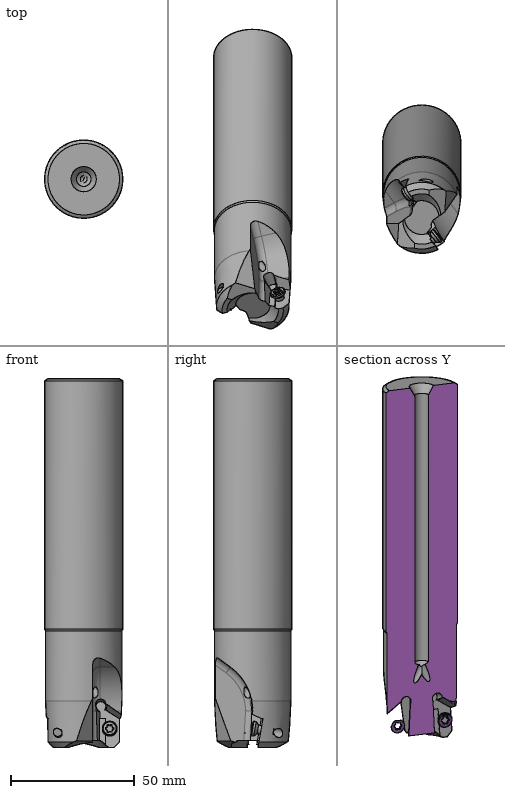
import cadquery as cq
import math

length = 149.35
shank_radius = 31.75 / 2
shank_bottom_z = 48.0
back_chamfer_width = 1.4
back_chamfer_height = 0.9
neck_radius = 15.5
neck_top_z = 47.3
neck_bottom_z = 18.9
head_radius = 14.7
tip_chamfer_height = 2.3
tip_chamfer_width = 2.3

bore_diameter = 5.9
bore_tip_z = 31.5
bore_tip_angle = 118
countersink_diameter = 10.2
countersink_angle = 60
coolant_diameter = 3.1
coolant_exit = cq.Vector(4.4, -2.2, 22.6)
coolant_run_past = 3.0

flute_wall_x = 3.6
flute_fillet = 2.9
flute_foot_z = -1.0
floor_low_y = -0.7
floor_low_z = 3.3
floor_arc_start_z = 14.8
floor_arc_radius = 22.0
floor_arc_angle = math.radians(54)

outside = 20.0
half_limit_y = -1.0

facet_lean = 0.85
facet_offset = 10.97
facet_slope = 0.3625

gash_reach = 6.5
gash_radius = 8.4
gash_slope_x = 0.26
gash_slope_y = 0.3
dish_mouth_radius = 10.4
dish_roof_radius = 7.0
dish_roof_z = 2.9

seat_y = 2.1
rake = math.radians(9.9)
pocket_wall_x = 6.5
pocket_corner = (9.0, 15.4)
pocket_top_slope = math.radians(33)
pocket_foot = -5.0
pocket_depth = 6.0
relief_depth = 7.0
pocket_draft = 16
relief_radius = 2.1
relief_center = (6.9, 16.8)
pad_edge_x = 8.76
pad_top = 11.9
pad_height = 0.7

screw_center = (10.5, 7.3)
thread_diameter = 3.6
thread_length = 5.0
head_diameter = 6.0
head_top_height = 3.8
head_rim_start = 2.5
head_cone_start = 1.3
head_edge_chamfer = 0.4
socket_circle_radius = 1.3
socket_lobe_radius = 0.4
socket_depth = 1.4
socket_lobes = 6


def half_turn_copies(tool):
    """The tool and its copy turned by 180 degrees about the cutter axis."""
    return [tool.rotate((0, 0, 0), (0, 0, 1), angle) for angle in (0, 180)]


def seat_plane():
    """Workplane on the seat: X along +X, Y up the seat, normal out of the seat."""
    normal = (0, -math.cos(rake), math.sin(rake))
    return cq.Workplane(cq.Plane(origin=(0, seat_y, 0), xDir=(1, 0, 0), normal=normal))


def blank():
    """Turned outline of the holder: tip chamfer, tapered head, neck and shank."""
    front = (
        cq.Workplane("XZ")
        .moveTo(0, 0)
        .lineTo(head_radius - tip_chamfer_width, 0)
        .lineTo(head_radius, tip_chamfer_height)
        .lineTo(neck_radius, neck_bottom_z)
        .lineTo(neck_radius, neck_top_z)
        .lineTo(shank_radius, shank_bottom_z)
        .lineTo(shank_radius, length - back_chamfer_height)
        .lineTo(shank_radius - back_chamfer_width, length)
        .lineTo(0, length)
        .close()
    )
    return front.revolve(360, (0, 0, 0), (0, 1, 0))


def bore():
    """Central bore with a drill point and a countersunk mouth."""
    radius = bore_diameter / 2
    mouth_radius = countersink_diameter / 2
    point_height = radius / math.tan(math.radians(bore_tip_angle / 2))
    mouth_height = (mouth_radius - radius) / math.tan(math.radians(countersink_angle / 2))
    outline = (
        cq.Workplane("XZ")
        .moveTo(0, bore_tip_z)
        .lineTo(radius, bore_tip_z + point_height)
        .lineTo(radius, length - mouth_height)
        .lineTo(mouth_radius, length)
        .lineTo(0, length)
        .close()
    )
    return outline.revolve(360, (0, 0, 0), (0, 1, 0))


def coolant_hole():
    """Slanted branch from the bore tip into the corner of the flute."""
    start = cq.Vector(0, 0, bore_tip_z)
    run = coolant_exit - start
    hole = cq.Solid.makeCylinder(coolant_diameter / 2, run.Length + coolant_run_past, start, run)
    return cq.Workplane(obj=hole)


def flute():
    """Chip flute: straight floor, arc and run-out, with a rounded corner at its wall."""
    def arc_point(angle):
        drop = floor_arc_radius * (1 - math.cos(angle))
        return (-drop, floor_arc_start_z + floor_arc_radius * math.sin(angle))

    arc_end = arc_point(floor_arc_angle)
    run_out = outside + arc_end[0]
    run_out_z = arc_end[1] + run_out / math.tan(floor_arc_angle)
    floor_slope = floor_low_y / (floor_arc_start_z - floor_low_z)
    foot_y = floor_slope * (floor_arc_start_z - flute_foot_z)
    tool = (
        cq.Workplane("YZ", origin=(flute_wall_x, 0, 0))
        .moveTo(foot_y, flute_foot_z)
        .lineTo(0, floor_arc_start_z)
        .threePointArc(arc_point(floor_arc_angle / 2), arc_end)
        .lineTo(-outside, run_out_z)
        .lineTo(-outside, flute_foot_z)
        .close()
        .extrude(outside)
    )
    wall_edges = tool.faces("<X").edges("not(<Y or <Z)")
    return wall_edges.fillet(flute_fillet)


def front_half_space(origin, normal):
    """Space on the normal's side of a plane, kept to the -Y half of the cutter."""
    plane = cq.Plane(origin=origin, xDir=(normal[1], -normal[0], 0), normal=normal)
    half_space = cq.Workplane(plane).rect(4 * outside, 4 * outside).extrude(2 * outside)
    half = cq.Workplane("XY").box(4 * outside, 2 * outside, 4 * outside)
    return half_space.intersect(half.translate((0, half_limit_y - outside, 0)))


def facet():
    """Flat that relieves the body between its outer surface and the flute wall."""
    return front_half_space((0, -facet_offset, 0), (facet_lean, -1, -facet_slope))


def gash():
    """Sloped cut under the end face, from its outer land up to the flute."""
    return front_half_space((-gash_reach, -gash_radius, 0), (gash_slope_x, -gash_slope_y, -1))


def dish():
    """Flat-roofed conical recess in the middle of the end face."""
    outline = (
        cq.Workplane("XZ")
        .polyline([(0, 0), (dish_mouth_radius, 0), (dish_roof_radius, dish_roof_z), (0, dish_roof_z)])
        .close()
    )
    return outline.revolve(360, (0, 0, 0), (0, 1, 0))


def insert_pocket():
    """Drafted pocket over the seat, with a round corner relief and a raised pad left standing."""
    corner_x, corner_v = pocket_corner
    end_v = corner_v - (outside - corner_x) * math.tan(pocket_top_slope)
    pocket = (
        seat_plane()
        .polyline([
            (pocket_wall_x, pocket_foot),
            (pocket_wall_x, corner_v),
            (corner_x, corner_v),
            (outside, end_v),
            (outside, pocket_foot),
        ])
        .close()
        .extrude(pocket_depth, taper=-pocket_draft)
    )
    relief = seat_plane().center(*relief_center).circle(relief_radius).extrude(relief_depth)
    pad = (
        seat_plane()
        .rect(pad_edge_x, pad_top, centered=False)
        .extrude(pad_height)
    )
    return pocket.union(relief).cut(pad)


def screw_hole():
    """Threaded hole square to the seat, right through the tooth and past the edge of the pad."""
    return seat_plane().center(*screw_center).circle(thread_diameter / 2).extrude(outside, both=True)


def clamp_screw():
    """Screw with a countersunk-style head standing proud of the seat and a six-lobe socket."""
    thread = thread_diameter / 2
    head = head_diameter / 2
    screw = seat_plane().center(*screw_center).circle(thread).extrude(-thread_length)
    screw = screw.union(seat_plane().center(*screw_center).circle(thread).extrude(head_cone_start))
    cone = (
        seat_plane().workplane(offset=head_cone_start).center(*screw_center).circle(thread)
        .workplane(offset=head_rim_start - head_cone_start).circle(head).loft()
    )
    rim = (
        seat_plane().workplane(offset=head_rim_start).center(*screw_center).circle(head)
        .extrude(head_top_height - head_rim_start)
    )
    rim = rim.faces(cq.selectors.DirectionMinMaxSelector(seat_plane().plane.zDir, True))
    rim = rim.edges().chamfer(head_edge_chamfer)
    top = seat_plane().workplane(offset=head_top_height).center(*screw_center)
    socket = top.circle(socket_circle_radius).extrude(-socket_depth)
    lobes = top.polarArray(socket_circle_radius, 0, 360, socket_lobes).circle(socket_lobe_radius)
    return screw.union(cone).union(rim).cut(socket).cut(lobes.extrude(-socket_depth))


holder = blank().cut(bore()).cut(dish())
for make_tool in (coolant_hole, flute, facet, gash, insert_pocket, screw_hole):
    for tool in half_turn_copies(make_tool()):
        holder = holder.cut(tool)

screws = half_turn_copies(clamp_screw())

result = cq.Compound.makeCompound([holder.val(), *[screw.val() for screw in screws]])